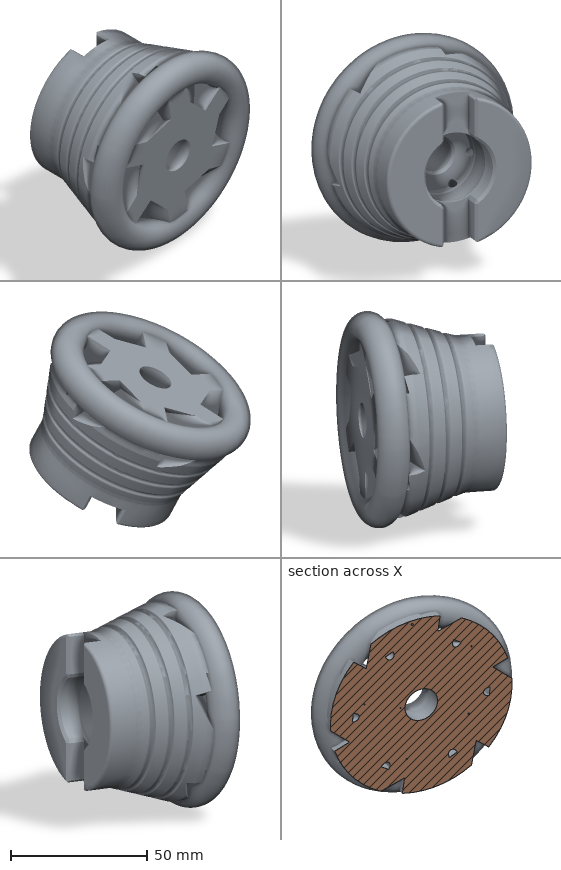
import cadquery as cq
import math


ring_outer_radius = 40.0
ring_tube_radius = 6.0
ring_end = 50.0
ring_mid_radius = ring_outer_radius - ring_tube_radius
ring_mid_x = ring_end - ring_tube_radius

hub_radius = 28.99
head_radius = 36.8
cone_start = 11.75
cone_end = 35.5
body_end = 48.0
hub_edge_fillet = 1.2
cone_blend_radius = 4.8
cone_angle = math.atan2(head_radius - hub_radius, cone_end - cone_start)

groove_radius = 1.0
groove_first_x = 16.5
groove_pitch = 6.6
groove_count = 3
groove_front_fillet = 0.95
groove_back_fillet = 0.3

bore_radius = 13.5
bore_depth = 22.0
bore_relief_radius = 13.8
bore_relief_taper = 0.8
bore_relief_start = 8.2
bore_relief_end = 17.8
screw_hole_radius = 6.5
edge_chamfer = 1.0

slot_width = 12.4
slot_depth = 7.0

tooth_count = 6
first_tooth_angle = 17.0
gullet_start_x = 32.15
gullet_root_slope = 57.0
gullet_floor_tilt = 19.0
gullet_wall_lean = 9.0
gullet_length = 22.4
gullet_overrun = 16.0
gullet_width = 48.0
pocket_seat_radius = 6.7
pocket_front_radius = 5.75
pocket_front = 3.2
pocket_depth = 7.7
coolant_radius = 1.7
coolant_start_radius = 14.0
coolant_lag = 19.0
coolant_slope = 45.0
coolant_length = 19.2
coolant_overrun = 3.2


def cone_radius(x):
    return hub_radius + (x - cone_start) * math.tan(cone_angle)


def ring_edge(x, radius):
    """Selector for the circular edge of the given radius around the axis at x."""
    reach = 0.04
    return cq.selectors.BoxSelector(
        (x - reach, -radius - reach, -radius - reach), (x + reach, radius + reach, radius + reach), boundingbox=True
    )


def make_body():
    outline = [
        (0, 0),
        (0, hub_radius),
        (cone_start, hub_radius),
        (cone_end, head_radius),
        (body_end, head_radius),
        (body_end, 0),
    ]
    body = cq.Workplane("XY").polyline(outline).close().revolve(360, (0, 0, 0), (1, 0, 0))
    return body.edges(ring_edge(cone_start, hub_radius)).fillet(cone_blend_radius)


def cut_grooves(body):
    for index in range(groove_count):
        x = groove_first_x + index * groove_pitch
        radius = cone_radius(x)
        groove = cq.Workplane("XY").center(x, radius).circle(groove_radius)
        body = body.cut(groove.revolve(360, (-x, -radius, 0), (0.8 - x, -radius, 0)))
        half_width = groove_radius * math.cos(cone_angle)
        for lip_x, fillet in ((x - half_width, groove_front_fillet), (x + half_width, groove_back_fillet)):
            body = body.edges(ring_edge(lip_x, cone_radius(lip_x))).fillet(fillet)
    return body


def make_bore():
    outline = [
        (0, 0),
        (0, bore_radius),
        (bore_relief_start, bore_radius),
        (bore_relief_start + bore_relief_taper, bore_relief_radius),
        (bore_relief_end, bore_relief_radius),
        (bore_relief_end + bore_relief_taper, bore_radius),
        (bore_depth, bore_radius),
        (bore_depth, screw_hole_radius + edge_chamfer),
        (bore_depth + edge_chamfer, screw_hole_radius),
        (ring_end, screw_hole_radius),
        (ring_end, 0),
    ]
    return cq.Workplane("XY").polyline(outline).close().revolve(360, (0, 0, 0), (1, 0, 0))


def cut_slot(body):
    """Cut the driving slot, break the edges of its walls and of the bore mouth, and round the hub edge."""
    body = body.cut(cq.Workplane("XY").box(2 * slot_depth, slot_width, 2 * head_radius))
    side_walls = cq.selectors.BoxSelector(
        (-0.8, -slot_width / 2 - 0.1, -hub_radius - 0.8), (slot_depth - 0.1, slot_width / 2 + 0.1, hub_radius + 0.8)
    )
    mouth = cq.selectors.BoxSelector(
        (-0.1, -bore_radius - 0.1, -bore_radius - 0.1), (0.1, bore_radius + 0.1, bore_radius + 0.1), boundingbox=True
    )
    body = body.edges(side_walls + mouth).chamfer(edge_chamfer)
    hub_edge = body.faces("<X").edges("%CIRCLE").edges(cq.selectors.RadiusNthSelector(-1))
    return hub_edge.fillet(hub_edge_fillet)


def make_gullet():
    slope = math.radians(gullet_root_slope)
    root_direction = (math.cos(slope), 0, -math.sin(slope))
    plane = cq.Plane((gullet_start_x, 0, cone_radius(gullet_start_x)), (0, 1, 0), root_direction)
    floor_rise = gullet_width * math.tan(math.radians(gullet_floor_tilt))
    wall_lean = gullet_width * math.tan(math.radians(gullet_wall_lean))
    wedge = cq.Workplane(plane).workplane(offset=-gullet_overrun)
    wedge = wedge.polyline([(0, 0), (-gullet_width, floor_rise), (wall_lean, gullet_width)]).close()
    return wedge.extrude(gullet_overrun + gullet_length)


def make_pocket():
    plane = cq.Plane((ring_mid_x, pocket_depth, ring_mid_radius), (1, 0, 0), (0, -1, 0))
    pocket = cq.Workplane(plane).circle(pocket_seat_radius)
    return pocket.workplane(offset=pocket_depth + pocket_front).circle(pocket_front_radius).loft()


def make_coolant_hole():
    slope = math.radians(coolant_slope)
    plane = cq.Plane((bore_depth, 0, coolant_start_radius), (0, 1, 0), (math.cos(slope), 0, math.sin(slope)))
    hole = cq.Workplane(plane).workplane(offset=-coolant_overrun).circle(coolant_radius)
    hole = hole.extrude(coolant_overrun + coolant_length)
    return hole.rotate((0, 0, 0), (1, 0, 0), coolant_lag)


def make_ring():
    tube = cq.Workplane("XY").center(ring_mid_x, ring_mid_radius).circle(ring_tube_radius)
    return tube.revolve(360, (-ring_mid_x, -ring_mid_radius, 0), (0.8 - ring_mid_x, -ring_mid_radius, 0))


result = cut_grooves(make_body()).cut(make_bore())
result = cut_slot(result)
tooth_cutters = [make_gullet(), make_pocket(), make_coolant_hole()]
for tooth in range(tooth_count):
    turn = 90 - first_tooth_angle + tooth * 360 / tooth_count
    for cutter in tooth_cutters:
        result = result.cut(cutter.rotate((0, 0, 0), (1, 0, 0), turn))
result = result.union(make_ring())